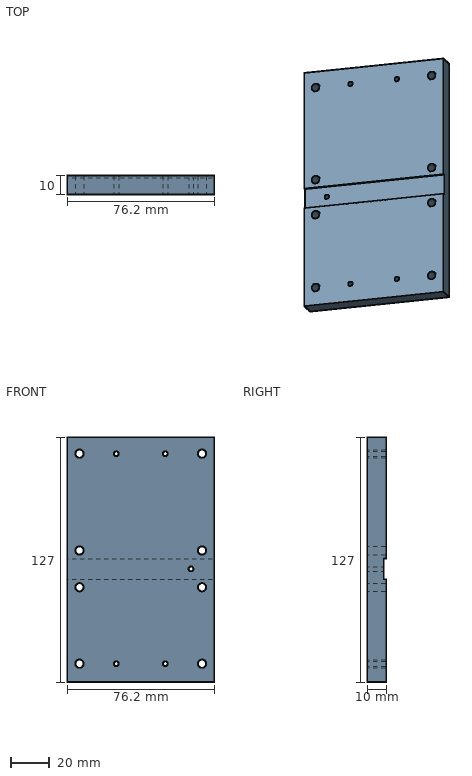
import cadquery as cq

width = 76.2
thickness = 10.0
height = 127.0

large_diameter = 4.2
large_spacing_x = 63.5
end_row_top_z = 54.9
end_row_bottom_z = -54.0
slot_z = -4.8
middle_row_spacing = 19.0

small_diameter = 2.4
small_spacing_x = 25.4
single_hole_x = 26.0

slot_height = 10.7
slot_depth = 1.3

end_rows_z = [end_row_top_z, end_row_bottom_z]
middle_rows_z = [slot_z + middle_row_spacing / 2, slot_z - middle_row_spacing / 2]


def hole_pairs(spacing_x, rows_z):
    """Centres of holes placed symmetrically about X = 0 in each row."""
    return [(side * spacing_x / 2, z) for side in (-1, 1) for z in rows_z]


def through_holes(centres, diameter):
    """Cylinders along Y that pass through the whole plate."""
    return (
        cq.Workplane("XZ")
        .pushPoints(centres)
        .circle(diameter / 2)
        .extrude(thickness, both=True)
    )


plate = cq.Workplane("XY").box(width, thickness, height)

large_holes = through_holes(hole_pairs(large_spacing_x, end_rows_z + middle_rows_z), large_diameter)
small_centres = hole_pairs(small_spacing_x, end_rows_z) + [(single_hole_x, slot_z)]
small_holes = through_holes(small_centres, small_diameter)

slot = (
    cq.Workplane("XY")
    .box(width, 2 * slot_depth, slot_height)
    .translate((0, thickness / 2, slot_z))
)

result = plate.cut(large_holes).cut(small_holes).cut(slot)